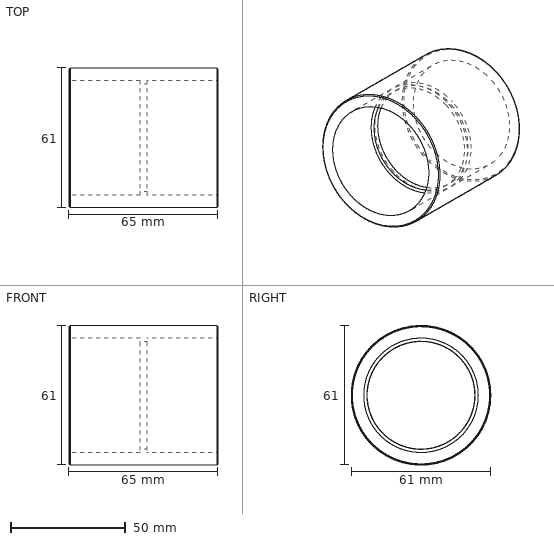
import cadquery as cq

length = 65.0
outer_diameter = 61.0
socket_diameter = 50.0
stop_diameter = 47.0
stop_width = 3.0
edge_chamfer = 0.5

socket_depth = (length - stop_width) / 2


def cylinder_along_x(diameter, start, depth):
    return cq.Workplane("YZ", origin=(start, 0, 0)).circle(diameter / 2).extrude(depth)


sleeve = cylinder_along_x(outer_diameter, 0, length).edges().chamfer(edge_chamfer)

result = sleeve.cut(cylinder_along_x(stop_diameter, 0, length))
for socket_start in (0, length - socket_depth):
    result = result.cut(cylinder_along_x(socket_diameter, socket_start, socket_depth))